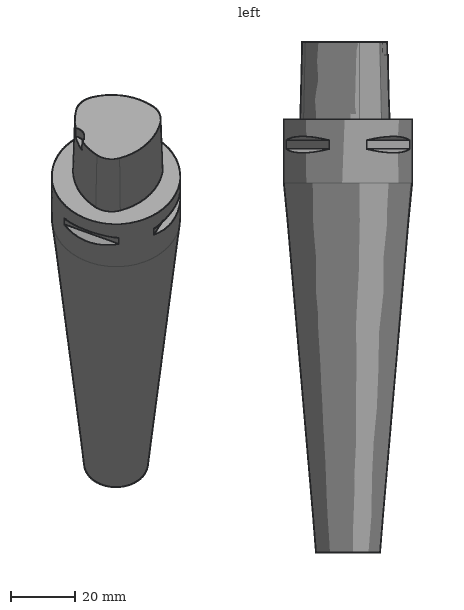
import cadquery as cq
import math

total_height = 159.0
collar_diameter = 40.0
collar_height = 19.9
tip_diameter = 20.0

shank_height = 24.0
lobe_center_distance = 7.2
lobe_radius = 7.8
shank_taper_ratio = 1 / 40

slot_count = 4
slot_drop = 8.0
slot_floor_height = 2.7
slot_floor_distance = 17.6
slot_flank_angle = 27.0

notch_radius = 3.5
notch_depth = 4.0
notch_inner_distance = 10.7

shank_base = total_height - shank_height
collar_base = shank_base - collar_height
collar_radius = collar_diameter / 2


def polar(distance, degrees):
    """Point at a distance and angle from the axis."""
    angle = math.radians(degrees)
    return (distance * math.cos(angle), distance * math.sin(angle))


def around(center, radius, degrees):
    """Point on a circle about the given center."""
    dx, dy = polar(radius, degrees)
    return (center[0] + dx, center[1] + dy)


def lobed_wire(height, corner_radius):
    """Constant-width outline: three corner arcs joined tangentially by flatter arcs."""
    side_radius = corner_radius + math.sqrt(3) * lobe_center_distance
    first_corner = polar(lobe_center_distance, 90)
    sketch = cq.Workplane("XY").workplane(offset=height)
    sketch = sketch.moveTo(*around(first_corner, corner_radius, 60))
    for direction in (90, 210, 330):
        corner = polar(lobe_center_distance, direction)
        opposite = polar(lobe_center_distance, direction - 120)
        sketch = sketch.threePointArc(
            around(corner, corner_radius, direction),
            around(corner, corner_radius, direction + 30),
        )
        sketch = sketch.threePointArc(
            around(opposite, side_radius, direction + 60),
            around(opposite, side_radius, direction + 90),
        )
    return sketch.close().val()


def make_body():
    """Conical holder with a cylindrical collar at its wide end."""
    profile = [
        (0, 0),
        (tip_diameter / 2, 0),
        (collar_radius, collar_base),
        (collar_radius, shank_base),
        (0, shank_base),
    ]
    return cq.Workplane("XZ").polyline(profile).close().revolve(360, (0, 0), (0, 1))


def make_shank():
    """Lobed shank narrowing toward the top."""
    top_lobe_radius = lobe_radius - shank_height * shank_taper_ratio
    base = lobed_wire(shank_base, lobe_radius)
    top = lobed_wire(total_height, top_lobe_radius)
    return cq.Workplane(cq.Solid.makeLoft([base, top], True))


def make_slot():
    """Straight cutter with flared flanks, on the +X side of the collar."""
    middle = shank_base - slot_drop
    floor_half = slot_floor_height / 2
    outer_distance = collar_radius + 1.6
    flare = (outer_distance - slot_floor_distance) * math.tan(math.radians(slot_flank_angle))
    mouth_half = floor_half + flare
    profile = [
        (slot_floor_distance, middle - floor_half),
        (outer_distance, middle - mouth_half),
        (outer_distance, middle + mouth_half),
        (slot_floor_distance, middle + floor_half),
    ]
    return cq.Workplane("XZ").polyline(profile).close().extrude(collar_radius, both=True)


def make_notch():
    """Upright round cutter on the -Y side of the shank."""
    return (
        cq.Workplane("XY")
        .workplane(offset=total_height - notch_depth)
        .center(0, -notch_inner_distance - notch_radius)
        .circle(notch_radius)
        .extrude(notch_depth)
    )


result = make_body().union(make_shank()).cut(make_notch())
for index in range(slot_count):
    slot_angle = (index + 0.5) * 360 / slot_count
    result = result.cut(make_slot().rotate((0, 0, 0), (0, 0, 1), slot_angle))